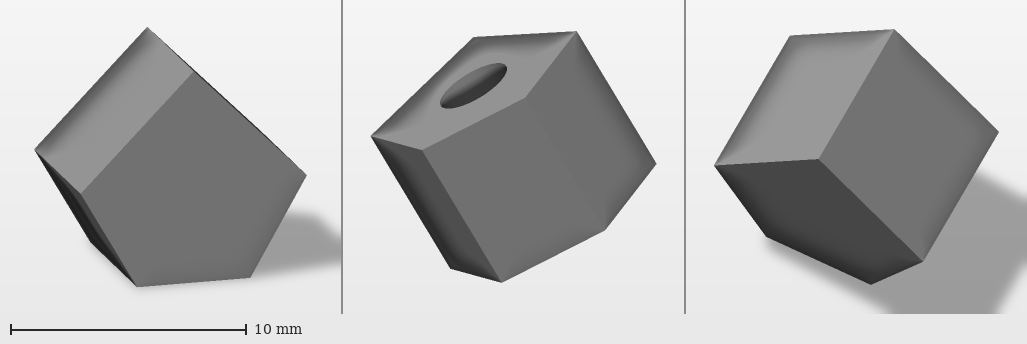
import cadquery as cq
import math

length = 7.0
half_width = 5.0
hole_diameter = 3.25
hole_drop = 0.25
hole_depth = 5.0

base_half_width = half_width / 2
base_height = half_width * math.sin(math.radians(60))
roof_height = half_width

body = (
    cq.Workplane("YZ")
    .polyline([
        (-base_half_width, -base_height),
        (base_half_width, -base_height),
        (half_width, 0),
        (0, roof_height),
        (-half_width, 0),
    ])
    .close()
    .extrude(length)
)

hole = (
    cq.Workplane("YZ")
    .center(0, -hole_drop)
    .circle(hole_diameter / 2)
    .extrude(hole_depth)
)

result = body.cut(hole)